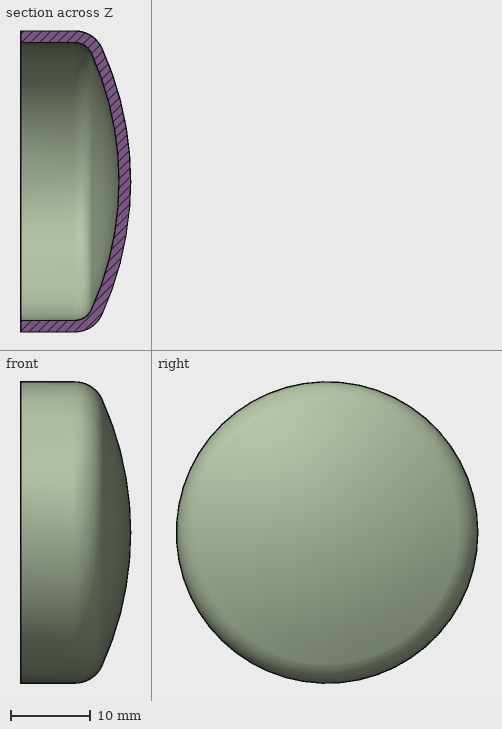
import cadquery as cq
import math

outer_diameter = 38.1
inner_diameter = 35.1
total_height = 13.9
skirt_height = 6.82
corner_radius = 3.8

outer_radius = outer_diameter / 2
wall = (outer_diameter - inner_diameter) / 2

corner_center_radius = outer_radius - corner_radius

crown_rise = total_height - skirt_height
dome_radius = (crown_rise**2 + corner_center_radius**2 - corner_radius**2) / (
    2 * (crown_rise - corner_radius)
)
dome_center_x = total_height - dome_radius

tangent_angle = math.atan2(corner_center_radius, skirt_height - dome_center_x)


def corner_point(arc_radius, angle):
    """Point on a corner arc, with the angle measured from the X axis."""
    return (
        skirt_height + arc_radius * math.cos(angle),
        corner_center_radius + arc_radius * math.sin(angle),
    )


def dome_point(arc_radius, angle):
    """Point on a dome arc, with the angle measured from the X axis."""
    return (dome_center_x + arc_radius * math.cos(angle), arc_radius * math.sin(angle))


def domed_solid(offset):
    """Solid of revolution bounded by the outer surface moved inward by offset."""
    skirt_radius = outer_radius - offset
    arc_radius = corner_radius - offset
    crown_radius = dome_radius - offset
    corner_middle_angle = (math.pi / 2 + tangent_angle) / 2
    profile = (
        cq.Workplane("XY")
        .lineTo(0, skirt_radius)
        .lineTo(skirt_height, skirt_radius)
        .threePointArc(
            corner_point(arc_radius, corner_middle_angle),
            corner_point(arc_radius, tangent_angle),
        )
        .threePointArc(
            dome_point(crown_radius, tangent_angle / 2),
            dome_point(crown_radius, 0),
        )
        .close()
    )
    return profile.revolve(360, (0, 0, 0), (1, 0, 0))


result = domed_solid(0).cut(domed_solid(wall))